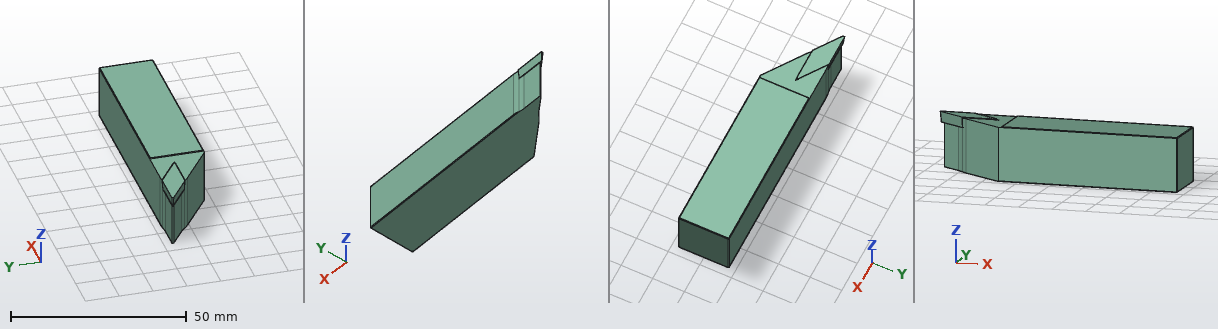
import cadquery as cq
import math


overall_length = 75.0
section = 16.0
edge_chamfer = 0.2
diamond_angle = math.radians(35)
head_end = 22.65
head_drop = 0.2
insert_length = 18.3
insert_width = 6.3
insert_thickness = 3.15
nose_flat = 0.6
insert_relief = 5.0
head_nose = 1.2
relief_depth = 0.45
blend_length = 4.05

flank_run = (insert_width - nose_flat) / math.tan(diamond_angle)
back_corner_x = insert_length - flank_run
pocket_tip_x = back_corner_x + insert_width / math.tan(diamond_angle)
head_foot_x = (section - nose_flat) / math.tan(diamond_angle)
cut_margin = 3.75

insert_points = [
    (0, 0),
    (0, -nose_flat),
    (flank_run, -insert_width),
    (insert_length, -insert_width),
    (insert_length, nose_flat - insert_width),
    (back_corner_x, 0),
]


def make_shank():
    """Square bar with chamfered long edges and rear end."""
    bar = cq.Workplane("XY").box(overall_length, section, section, centered=False)
    bar = bar.translate((0, -section, -section))
    return bar.edges("|X").chamfer(edge_chamfer).faces(">X").chamfer(edge_chamfer)


def head_side_cutter():
    """Wedge that cuts the bar back to the angled head side."""
    return (
        cq.Workplane("XY", origin=(0, 0, -section))
        .polyline([(0, -nose_flat), (head_foot_x, -section), (0, -section)])
        .close()
        .extrude(section)
    )


def head_top_cutter():
    """Shallow step over the head, ending in a 45 degree slope."""
    return (
        cq.Workplane("XZ")
        .polyline([(0, 0), (0, -head_drop), (head_end, -head_drop), (head_end + head_drop, 0)])
        .close()
        .extrude(section)
    )


def relief_cutter(corner_x):
    """Side relief along +X below Y = 0, blending out in an S centred on corner_x."""
    start = corner_x - blend_length / 2
    end = corner_x + blend_length / 2
    return (
        cq.Workplane("XY", origin=(0, 0, -section))
        .moveTo(-cut_margin, 0)
        .lineTo(-cut_margin, -relief_depth)
        .lineTo(start, -relief_depth)
        .tangentArcPoint((corner_x, -relief_depth / 2), relative=False)
        .tangentArcPoint((end, 0), relative=False)
        .close()
        .extrude(section)
    )


def angled_relief_cutter():
    """The same relief mirrored onto the angled flank of the head."""
    flank_length = math.hypot(flank_run, insert_width - nose_flat)
    cutter = relief_cutter(flank_length).mirror("XZ")
    cutter = cutter.rotate((0, 0, 0), (0, 0, 1), -math.degrees(diamond_angle))
    return cutter.translate((0, -nose_flat, 0))


def nose_cutter():
    """Sets the head back behind the insert nose, square to the bisector of the diamond angle."""
    lean = section * math.tan(diamond_angle / 2)
    top_x = head_nose - relief_depth * math.tan(diamond_angle / 2)
    return (
        cq.Workplane("XY", origin=(0, 0, -section))
        .polyline([(-cut_margin, 0), (top_x, 0), (top_x + lean, -section), (-cut_margin, -section)])
        .close()
        .extrude(section)
    )


def pocket_cutter():
    """Insert seat with two tapered walls, open towards the nose and both flanks."""
    back_y = cut_margin
    back_x = pocket_tip_x - (insert_width + back_y) / math.tan(diamond_angle)
    return (
        cq.Workplane("XY")
        .polyline([
            (pocket_tip_x, -insert_width),
            (back_x, back_y),
            (-overall_length, back_y),
            (-overall_length, -insert_width),
        ])
        .close()
        .extrude(-insert_thickness, taper=insert_relief)
    )


def make_holder():
    holder = make_shank()
    cutters = [
        head_side_cutter(),
        head_top_cutter(),
        relief_cutter(back_corner_x),
        angled_relief_cutter(),
        nose_cutter(),
        pocket_cutter(),
    ]
    for cutter in cutters:
        holder = holder.cut(cutter)
    return holder.solids()


def make_insert():
    """Blunted parallelogram, narrowing downwards on every flank."""
    return (
        cq.Workplane("XY")
        .polyline(insert_points)
        .close()
        .extrude(-insert_thickness, taper=insert_relief)
    )


holder = make_holder()
insert = make_insert()
result = cq.Compound.makeCompound([holder.val(), insert.val()])